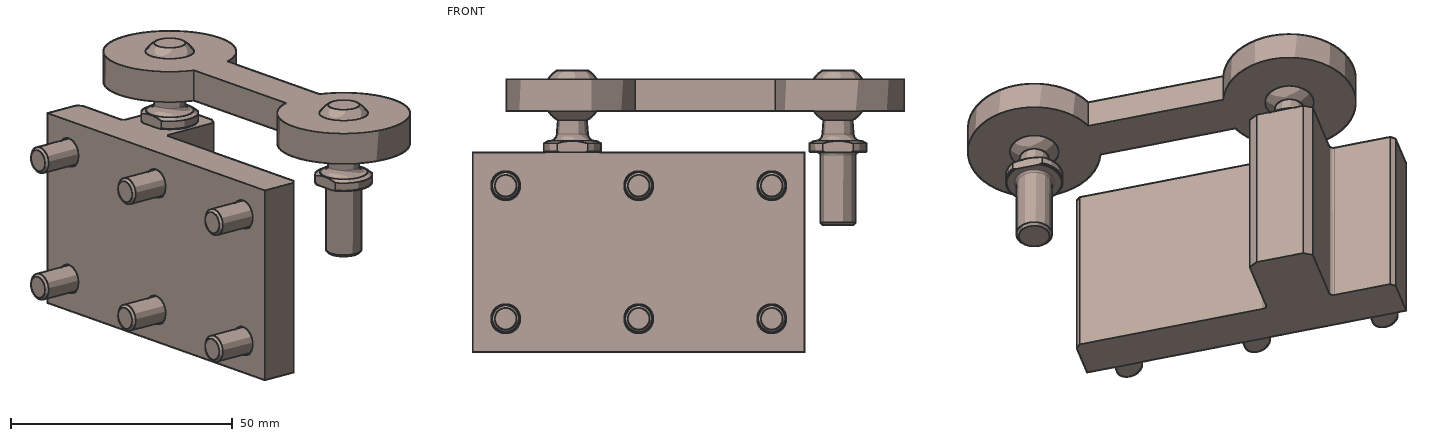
import cadquery as cq
import math


overall_length = 97.45

plate_length = 74.9
block_height = 45.0
plate_thickness = 9.55
rib_width = 14.8
block_depth = 24.9
plate_chamfer = 1.0
rib_chamfer_depth = 1.2
rib_chamfer_width = 1.95
rib_root_fillet = 1.0

pin_diameter = 6.0
pin_hole_diameter = 6.6
pin_projection = 9.3
pin_seat_depth = 5.8
pin_tip_chamfer = 0.6
pin_pitch = 30.0
pin_columns = 3
pin_rows = 2
pin_first_x = (plate_length - (pin_columns - 1) * pin_pitch) / 2
pin_first_z = (block_height - (pin_rows - 1) * pin_pitch) / 2

eye_diameter = 30.0
eye_pitch = 59.9
bar_width = 10.0
link_thickness = 7.2
socket_mouth_diameter = 11.0

first_stud_x = overall_length - eye_diameter / 2 - eye_pitch
stud_y = 17.1
neck_top_diameter = 6.6
neck_base_diameter = 7.1
neck_fillet = 1.6
collar_diameter = 13.0
collar_across_flats = 11.0
collar_height = 2.6
collar_chamfer_width = 1.1
collar_chamfer_height = 0.6
collar_base_chamfer = 0.3
shank_diameter = 8.1
shank_length = 16.4
shank_root_fillet = 0.5
shank_tip_chamfer = 0.6
ball_center_z = block_height + 13.0
ball_top_z = 63.5
ball_radius = math.hypot(socket_mouth_diameter / 2, link_thickness / 2)

stud_positions = [first_stud_x, first_stud_x + eye_pitch]


def make_stud(x):
    """Ball stud with its collar resting at the height of the block's top."""
    neck_top_radius = neck_top_diameter / 2
    neck_base_radius = neck_base_diameter / 2
    shank_radius = shank_diameter / 2
    collar_radius = collar_diameter / 2
    shank_end_z = block_height - shank_length
    collar_top_z = block_height + collar_height
    neck_top_z = ball_center_z - math.sqrt(ball_radius**2 - neck_top_radius**2)
    top_flat_radius = math.sqrt(ball_radius**2 - (ball_top_z - ball_center_z) ** 2)
    diagonal = math.cos(math.pi / 4)
    neck_arc_offset = neck_fillet * (1 - diagonal)
    root_arc_offset = shank_root_fillet * (1 - diagonal)

    body = (
        cq.Workplane("XZ")
        .moveTo(0, shank_end_z)
        .lineTo(shank_radius - shank_tip_chamfer, shank_end_z)
        .lineTo(shank_radius, shank_end_z + shank_tip_chamfer)
        .lineTo(shank_radius, block_height - shank_root_fillet)
        .threePointArc(
            (shank_radius + root_arc_offset, block_height - root_arc_offset),
            (shank_radius + shank_root_fillet, block_height),
        )
        .lineTo(collar_radius - collar_base_chamfer, block_height)
        .lineTo(collar_radius, block_height + collar_base_chamfer)
        .lineTo(collar_radius, collar_top_z - collar_chamfer_height)
        .lineTo(collar_radius - collar_chamfer_width, collar_top_z)
        .lineTo(neck_base_radius + neck_fillet, collar_top_z)
        .threePointArc(
            (neck_base_radius + neck_arc_offset, collar_top_z + neck_arc_offset),
            (neck_base_radius, collar_top_z + neck_fillet),
        )
        .lineTo(neck_top_radius, neck_top_z)
        .threePointArc((ball_radius, ball_center_z), (top_flat_radius, ball_top_z))
        .lineTo(0, ball_top_z)
        .close()
        .revolve(360, (0, 0, 0), (0, 1, 0))
    )
    for side in (-1, 1):
        flat_cut = cq.Workplane(
            "XY", origin=(0, side * (collar_across_flats + collar_diameter) / 2, block_height)
        ).box(collar_diameter, collar_diameter, collar_height, centered=(True, True, False))
        body = body.cut(flat_cut)
    return body.translate((x, stud_y, 0))


def make_pin(x, z):
    """Pin lying along Y, standing on the floor of its hole, chamfered at its front tip."""
    return (
        cq.Workplane("XZ", origin=(x, pin_seat_depth, z))
        .circle(pin_diameter / 2)
        .extrude(pin_seat_depth + pin_projection)
        .faces("<Y")
        .chamfer(pin_tip_chamfer)
    )


def make_block(pin_positions, seated_stud):
    """Plate with its rib, with blind pin holes and a recess fitting the seated stud."""
    plate = (
        cq.Workplane("XY")
        .box(plate_length, plate_thickness, block_height, centered=False)
        .edges("|Z and >Y")
        .chamfer(plate_chamfer)
    )
    rib_half_width = rib_width / 2
    back_half_width = rib_half_width - rib_chamfer_width
    shoulder_y = block_depth - rib_chamfer_depth
    rib = (
        cq.Workplane("XY", origin=(first_stud_x, 0, 0))
        .moveTo(-rib_half_width, 0)
        .lineTo(rib_half_width, 0)
        .lineTo(rib_half_width, shoulder_y)
        .lineTo(back_half_width, block_depth)
        .lineTo(-back_half_width, block_depth)
        .lineTo(-rib_half_width, shoulder_y)
        .close()
        .extrude(block_height)
    )
    block = plate.union(rib)
    for side in (-1, 1):
        root = (first_stud_x + side * rib_half_width, plate_thickness, block_height / 2)
        block = block.edges(cq.selectors.NearestToPointSelector(root)).fillet(rib_root_fillet)
    for x, z in pin_positions:
        hole = (
            cq.Workplane("XZ", origin=(x, pin_seat_depth, z))
            .circle(pin_hole_diameter / 2)
            .extrude(pin_seat_depth)
        )
        block = block.cut(hole)
    return block.cut(seated_stud)


def make_link():
    """Bar with a round eye and an open ball socket at each end."""
    bottom_z = ball_center_z - link_thickness / 2
    middle_x = first_stud_x + eye_pitch / 2
    link = (
        cq.Workplane("XY", origin=(middle_x, stud_y, bottom_z))
        .rect(eye_pitch, bar_width)
        .extrude(link_thickness)
    )
    for x in stud_positions:
        eye = (
            cq.Workplane("XY", origin=(x, stud_y, bottom_z))
            .circle(eye_diameter / 2)
            .extrude(link_thickness)
        )
        link = link.union(eye)
    for x in stud_positions:
        socket = cq.Workplane("XY", origin=(x, stud_y, ball_center_z)).sphere(ball_radius)
        link = link.cut(socket)
    return link


pin_positions = [
    (pin_first_x + column * pin_pitch, pin_first_z + row * pin_pitch)
    for column in range(pin_columns)
    for row in range(pin_rows)
]
studs = [make_stud(x) for x in stud_positions]
pins = [make_pin(x, z) for x, z in pin_positions]
block = make_block(pin_positions, studs[0])
link = make_link()

result = cq.Compound.makeCompound(
    [block.val(), link.val(), *[stud.val() for stud in studs], *[pin.val() for pin in pins]]
)